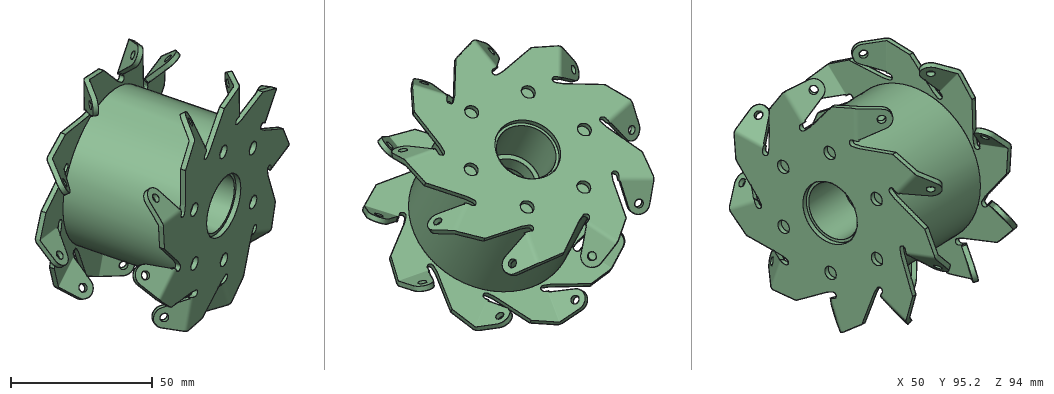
import cadquery as cq
import math

wheel_width = 50.0
sheet = 2.0
hub_length = wheel_width - 2 * sheet
wheel_turn = 0.5

hub_diameter = 60.0
hub_bore = 18.0
bearing_diameter = 21.8
bearing_depth = 20.0

plate_bore = 24.0
bolt_diameter = 5.0
bolt_circle_radius = 23.8
bolt_count = 6
first_bolt_angle = 90

blade_count = 9
blade_step = 360.0 / blade_count
shoulder_radius = 42.4
shoulder_angle = 88.8
relief_width = 2.5
relief_centre_u = 10.0
relief_centre_v = 30.7
relief_foot_u = 12.7
relief_low_v = relief_centre_v - relief_width / 2
relief_high_v = relief_centre_v + relief_width / 2

bend_start_u = 10.8
bend_top_v = 44.8
bend_angle = 45.0
bend_inner_radius = 0.5
bend_outer_radius = bend_inner_radius + sheet
tab_base_v = 32.5
tab_hole_diameter = 3.1
tab_hole_reach = 8.1
tab_hole_v = 40.1
tab_end_radius = 4.0

sin_bend = math.sin(math.radians(bend_angle))
cos_bend = math.cos(math.radians(bend_angle))


def turned(u, v, degrees):
    """Point (u, v) turned counter-clockwise about the wheel axis."""
    a = math.radians(degrees)
    return (u * math.cos(a) - v * math.sin(a), u * math.sin(a) + v * math.cos(a))


def tangent_point(u, v, side):
    """Point of the tab's round end where the straight edge from (u, v) touches it."""
    du = u - tab_hole_reach
    dv = v - tab_hole_v
    toward_corner = math.atan2(dv, du)
    spread = math.acos(tab_end_radius / math.hypot(du, dv))
    a = toward_corner + side * spread
    return (tab_hole_reach + tab_end_radius * math.cos(a), tab_hole_v + tab_end_radius * math.sin(a))


def make_flat_plate():
    """Plate without tabs, outer face at z = 0, with its blades and their bend reliefs."""
    shoulder = turned(shoulder_radius, 0, shoulder_angle)
    outline = cq.Workplane("XY").moveTo(relief_foot_u, relief_low_v)
    for i in range(blade_count):
        angle = i * blade_step
        outline = (
            outline.lineTo(*turned(relief_centre_u, relief_low_v, angle))
            .threePointArc(
                turned(relief_centre_u - relief_width / 2, relief_centre_v, angle),
                turned(relief_centre_u, relief_high_v, angle),
            )
            .lineTo(*turned(bend_start_u, relief_high_v, angle))
            .lineTo(*turned(bend_start_u, bend_top_v, angle))
            .lineTo(*turned(*shoulder, angle))
        )
        if i < blade_count - 1:
            outline = outline.lineTo(*turned(relief_foot_u, relief_low_v, angle + blade_step))
    return outline.close().extrude(-sheet)


def make_bend():
    """Bend between the flat plate and a tab."""
    half = math.radians(bend_angle / 2)

    def on_bend(radius, angle):
        return (bend_start_u + radius * math.sin(angle), radius * math.cos(angle) - bend_outer_radius)

    return (
        cq.Workplane("XZ", origin=(0, relief_high_v, 0))
        .moveTo(*on_bend(bend_outer_radius, 0))
        .threePointArc(on_bend(bend_outer_radius, half), on_bend(bend_outer_radius, 2 * half))
        .lineTo(*on_bend(bend_inner_radius, 2 * half))
        .threePointArc(on_bend(bend_inner_radius, half), on_bend(bend_inner_radius, 0))
        .close()
        .extrude(relief_high_v - bend_top_v)
    )


def make_tab():
    """Tapered tab with a round end and a roller pin hole, leaning in from the end of the bend."""
    tab_plane = cq.Plane(
        origin=(bend_start_u + bend_outer_radius * sin_bend, 0, bend_outer_radius * (cos_bend - 1)),
        xDir=(cos_bend, 0, -sin_bend),
        normal=(sin_bend, 0, cos_bend),
    )
    return (
        cq.Workplane(tab_plane)
        .moveTo(0, tab_base_v)
        .lineTo(*tangent_point(0, tab_base_v, 1))
        .threePointArc(
            (tab_hole_reach + tab_end_radius, tab_hole_v), tangent_point(0, bend_top_v, -1)
        )
        .lineTo(0, bend_top_v)
        .close()
        .moveTo(tab_hole_reach, tab_hole_v)
        .circle(tab_hole_diameter / 2)
        .extrude(-sheet)
    )


def make_side_plate():
    """Bent sheet-metal plate at the -X end of the wheel, tabs leaning toward +X."""
    plate = make_flat_plate()
    blade_tab = make_bend().union(make_tab())
    for i in range(blade_count):
        plate = plate.union(blade_tab.rotate((0, 0, 0), (0, 0, 1), i * blade_step))
    bore = cq.Workplane("XY").circle(plate_bore / 2).extrude(-sheet)
    bolt_holes = (
        cq.Workplane("XY")
        .polarArray(bolt_circle_radius, first_bolt_angle, 360, bolt_count)
        .circle(bolt_diameter / 2)
        .extrude(-sheet)
    )
    plate = plate.cut(bore).cut(bolt_holes)
    end_plane = cq.Plane(origin=(-wheel_width / 2, 0, 0), xDir=(0, -1, 0), normal=(-1, 0, 0))
    return plate.val().moved(cq.Location(end_plane))


def make_hub():
    """Cylinder between the plates, bored through, with a bearing seat in each end."""
    hub = (
        cq.Workplane("YZ", origin=(-hub_length / 2, 0, 0))
        .circle(hub_diameter / 2)
        .circle(hub_bore / 2)
        .extrude(hub_length)
    )
    for end in (-1, 1):
        seat = (
            cq.Workplane("YZ", origin=(end * hub_length / 2, 0, 0))
            .circle(bearing_diameter / 2)
            .extrude(-end * bearing_depth)
        )
        hub = hub.cut(seat)
    return hub.val()


hub = make_hub()
side_plate = make_side_plate()

side_plates = []
for half_turn in (0, 180):
    placed = side_plate.rotate(cq.Vector(0, 0, 0), cq.Vector(0, 0, 1), half_turn)
    side_plates.append(placed.rotate(cq.Vector(0, 0, 0), cq.Vector(1, 0, 0), wheel_turn))

result = cq.Compound.makeCompound([hub, *side_plates])